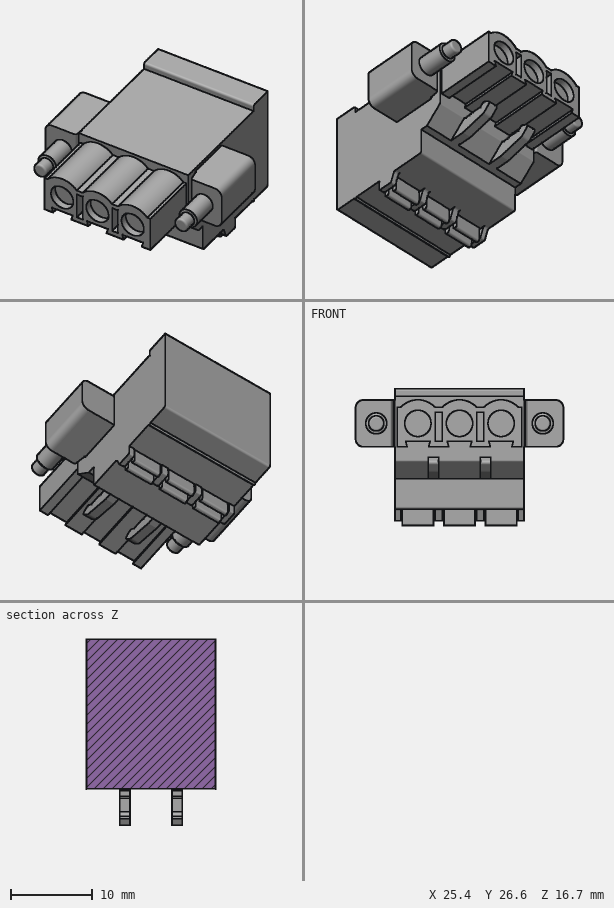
import cadquery as cq
import math


POLE_PITCH = 5.08
POLE_COUNT = 3

BODY_WIDTH = 15.8
BODY_DEPTH = 18.3
BODY_TOP = 3.33
BODY_BOTTOM = -10.45
RIDGE_TOP = 4.24
RIDGE_DEPTH = 3.28
RIDGE_RADIUS = 0.3
STEP_Y = 3.33
STEP_Z = -6.76
UNDERCUT_Y = 2.34
UNDERCUT_Z = -4.6
UNDERCUT_EDGE_RADIUS = 0.25
BOTTOM_EDGE_RADIUS = 0.28
BEAD_RADIUS = 0.2

NOSE_LENGTH = 8.3
NOSE_WIDTH = POLE_COUNT * POLE_PITCH
NOSE_RADIUS = 2.88
NOSE_SHOULDER_Z = 1.96
SOCKET_RADIUS = 1.61
SOCKET_DEPTH = 1.0
SLOT_WIDTH = 0.83
SLOT_TOP = 1.35
SLOT_BOTTOM = -2.18
DOVETAIL_ROOT_WIDTH = 3.0
DOVETAIL_MOUTH_WIDTH = 2.6

OVERALL_WIDTH = 25.4
FLANGE_HEIGHT = 2 * NOSE_RADIUS
FLANGE_DEPTH = 7.68
FLANGE_RADIUS = 1.0
RELIEF_DEPTH = 1.58
RELIEF_BACK_GAP = 0.12
RELIEF_FRONT_GAP = 0.4
RELIEF_EDGE_RADIUS = 0.25
SCREW_X = 2 * POLE_PITCH
SCREW_RADIUS = 1.28
SCREW_SHANK_LENGTH = 3.62
SCREW_LENGTH = 5.32
SCREW_TIP_RADIUS = 0.93
SCREW_SHOULDER_DROP = 0.1
SCREW_END_ROUNDING = 0.25

LATCH_X = 3.2
LATCH_WIDTH = 1.28
LATCH_TOP_Z = -4.59
LATCH_START_Z = -4.5
LATCH_ROOT_Z = -4.68
LATCH_ROOT_START_Y = -0.2
LATCH_ROOT_END_Y = -0.85
LATCH_ARM_START_Y = -1.1
LATCH_UNDERSIDE_Y = 0.23
HOOK_RAMP_Y = -2.79
HOOK_TOP_START_Y = -3.33
HOOK_TOP_END_Y = -3.6
HOOK_TOP_Z = -4.14
LATCH_NOSE = (-4.62, -4.72)
LATCH_NOSE_RADIUS = 0.32
LATCH_KNEE = (-3.46, -5.9)
LATCH_KNEE_RADIUS = 0.6

FOOT_BACK_Y = 10.8
FOOT_FRONT_Y = 8.16
FOOT_TOE_Y = 8.7
FOOT_BOTTOM = -11.9
FOOT_WIDTH = 0.93
END_FOOT_WIDTH = 0.75
FOOT_ROOT_RADIUS = 0.35
FOOT_EDGE_RADIUS = 0.2
PRONG_BOTTOM = -12.47
PRONG_WIDTH = 3.82
PRONG_THICKNESS = 0.64
PRONG_CENTRES_Y = (10.4, 9.03)
PRONG_RADIUS = 0.25

OVERLAP = 0.5

POLE_POSITIONS = [(i - (POLE_COUNT - 1) / 2) * POLE_PITCH for i in range(POLE_COUNT)]
DIVIDER_POSITIONS = [x + POLE_PITCH / 2 for x in POLE_POSITIONS[:-1]]


def side_prism(points, width, x_centre):
    """Extrude a closed (Y, Z) outline symmetrically about X = x_centre."""
    return (
        cq.Workplane("YZ", origin=(x_centre, 0, 0))
        .polyline(points)
        .close()
        .extrude(width / 2, both=True)
    )


def block(x_range, y_range, z_range):
    """Axis-aligned box given by its limits."""
    size = [high - low for low, high in (x_range, y_range, z_range)]
    corner = (x_range[0], y_range[0], z_range[0])
    return cq.Workplane("XY").box(*size, centered=False).translate(corner)


def y_cylinder(x, radius, y_start, y_end):
    """Cylinder along Y, centred on the pole axis height."""
    return cq.Workplane("XZ", origin=(x, y_end, 0)).circle(radius).extrude(y_end - y_start)


def fillet_edge_near(solid, point, radius):
    """Round the single edge whose centre lies nearest to a point."""
    return solid.edges(cq.selectors.NearestToPointSelector(point)).fillet(radius)


def make_body():
    """Housing with its top ridge, bottom bead, front step and foot rail split into feet."""
    ridge_y = BODY_DEPTH - RIDGE_DEPTH
    upper_outline = [
        (0, BODY_TOP),
        (ridge_y, BODY_TOP),
        (ridge_y, RIDGE_TOP),
        (BODY_DEPTH, RIDGE_TOP),
        (BODY_DEPTH, BODY_BOTTOM),
        (ridge_y + BEAD_RADIUS, BODY_BOTTOM),
    ]
    bead_crest = (ridge_y, BODY_BOTTOM - BEAD_RADIUS)
    bead_end = (ridge_y - BEAD_RADIUS, BODY_BOTTOM)
    lower_outline = [
        bead_end,
        (FOOT_BACK_Y, BODY_BOTTOM),
        (FOOT_BACK_Y, FOOT_BOTTOM),
        (FOOT_TOE_Y, FOOT_BOTTOM),
        (FOOT_FRONT_Y, BODY_BOTTOM),
        (STEP_Y, BODY_BOTTOM),
        (STEP_Y, STEP_Z),
        (UNDERCUT_Y, STEP_Z),
        (0, UNDERCUT_Z),
    ]
    body = (
        cq.Workplane("YZ")
        .polyline(upper_outline)
        .threePointArc(bead_crest, bead_end)
        .polyline(lower_outline, includeCurrent=False)
        .close()
        .extrude(BODY_WIDTH / 2, both=True)
    )
    body = fillet_edge_near(body, (0, ridge_y, RIDGE_TOP), RIDGE_RADIUS)
    body = fillet_edge_near(body, (0, 0, UNDERCUT_Z), UNDERCUT_EDGE_RADIUS)
    for y in (STEP_Y, BODY_DEPTH):
        body = fillet_edge_near(body, (0, y, BODY_BOTTOM), BOTTOM_EDGE_RADIUS)
    body = fillet_edge_near(body, (0, FOOT_FRONT_Y, BODY_BOTTOM), FOOT_ROOT_RADIUS)
    for y in (FOOT_TOE_Y, FOOT_BACK_Y):
        body = fillet_edge_near(body, (0, y, FOOT_BOTTOM), FOOT_EDGE_RADIUS)
    for gap in foot_gaps():
        body = body.cut(gap)
    return body


def dovetail_groove(x):
    """Groove along the nose underside, widening inward."""
    root = DOVETAIL_ROOT_WIDTH / 2
    mouth = DOVETAIL_MOUTH_WIDTH / 2
    outline = [
        (-root, SLOT_BOTTOM),
        (root, SLOT_BOTTOM),
        (mouth, -NOSE_RADIUS),
        (-mouth, -NOSE_RADIUS),
    ]
    return cq.Workplane("XZ", origin=(x, 0, 0)).polyline(outline).close().extrude(NOSE_LENGTH)


def make_nose():
    """Plug nose: a scalloped bar with pole sockets, divider slots and dovetail grooves."""
    x_range = (-NOSE_WIDTH / 2, NOSE_WIDTH / 2)
    y_range = (-NOSE_LENGTH, OVERLAP)
    nose = block(x_range, y_range, (-NOSE_RADIUS, NOSE_SHOULDER_Z))
    for x in POLE_POSITIONS:
        nose = nose.union(y_cylinder(x, NOSE_RADIUS, *y_range))
    nose = nose.intersect(block(x_range, y_range, (-NOSE_RADIUS, NOSE_RADIUS)))
    for x in POLE_POSITIONS:
        nose = nose.cut(y_cylinder(x, SOCKET_RADIUS, -NOSE_LENGTH, SOCKET_DEPTH - NOSE_LENGTH))
        nose = nose.cut(dovetail_groove(x))
    for x in DIVIDER_POSITIONS:
        slot_range = (x - SLOT_WIDTH / 2, x + SLOT_WIDTH / 2)
        nose = nose.cut(block(slot_range, (-NOSE_LENGTH, 0), (SLOT_BOTTOM, SLOT_TOP)))
    return nose


def make_flange():
    """Flange on the +X side, with a tapered relief beside the body."""
    inner_x = BODY_WIDTH / 2
    outer_x = OVERALL_WIDTH / 2
    half_height = FLANGE_HEIGHT / 2
    outline = [
        (inner_x - OVERLAP, FLANGE_DEPTH),
        (outer_x, FLANGE_DEPTH),
        (outer_x, 0),
        (inner_x + RELIEF_FRONT_GAP, 0),
        (inner_x + RELIEF_BACK_GAP, RELIEF_DEPTH),
        (inner_x - OVERLAP, RELIEF_DEPTH),
    ]
    flange = (
        cq.Workplane("XY")
        .polyline(outline)
        .close()
        .extrude(half_height, both=True)
    )
    flange = flange.faces(">X").edges("|Y").fillet(FLANGE_RADIUS)
    return fillet_edge_near(flange, (inner_x + RELIEF_FRONT_GAP, 0, 0), RELIEF_EDGE_RADIUS)


def make_screw():
    """Stepped pin on the +X side, turned about its own axis."""
    end_radius = SCREW_TIP_RADIUS - SCREW_END_ROUNDING
    bend = 1 - math.sqrt(0.5)
    end_mid = (
        SCREW_TIP_RADIUS - bend * SCREW_END_ROUNDING,
        -SCREW_LENGTH + bend * SCREW_END_ROUNDING,
    )
    profile = (
        cq.Workplane("ZY")
        .moveTo(0, OVERLAP)
        .lineTo(SCREW_RADIUS, OVERLAP)
        .lineTo(SCREW_RADIUS, -SCREW_SHANK_LENGTH)
        .lineTo(SCREW_TIP_RADIUS, -SCREW_SHANK_LENGTH - SCREW_SHOULDER_DROP)
        .lineTo(SCREW_TIP_RADIUS, -SCREW_LENGTH + SCREW_END_ROUNDING)
        .threePointArc(end_mid, (end_radius, -SCREW_LENGTH))
        .lineTo(0, -SCREW_LENGTH)
        .close()
    )
    return profile.revolve(360, (0, 0, 0), (0, 1, 0)).translate((SCREW_X, 0, 0))


def make_latch(x):
    """Hooked latch arm reaching forward from the undercut below the nose."""
    outline = [
        (UNDERCUT_Y, STEP_Z),
        (UNDERCUT_Y, LATCH_TOP_Z),
        (0, LATCH_START_Z),
        (LATCH_ROOT_START_Y, LATCH_ROOT_Z),
        (LATCH_ROOT_END_Y, LATCH_ROOT_Z),
        (LATCH_ARM_START_Y, LATCH_TOP_Z),
        (HOOK_RAMP_Y, LATCH_TOP_Z),
        (HOOK_TOP_START_Y, HOOK_TOP_Z),
        (HOOK_TOP_END_Y, HOOK_TOP_Z),
        LATCH_NOSE,
        LATCH_KNEE,
        (LATCH_UNDERSIDE_Y, STEP_Z),
    ]
    latch = side_prism(outline, LATCH_WIDTH, x)
    latch = fillet_edge_near(latch, (x, *LATCH_NOSE), LATCH_NOSE_RADIUS)
    return fillet_edge_near(latch, (x, *LATCH_KNEE), LATCH_KNEE_RADIUS)


def foot_gaps():
    """Clearances that split the full-width foot rail into separate feet, with one gap per pole."""
    half_width = BODY_WIDTH / 2
    foot_limits = [-half_width, -half_width + END_FOOT_WIDTH]
    for x in DIVIDER_POSITIONS:
        foot_limits += [x - FOOT_WIDTH / 2, x + FOOT_WIDTH / 2]
    foot_limits += [half_width - END_FOOT_WIDTH, half_width]
    y_range = (FOOT_FRONT_Y - OVERLAP, FOOT_BACK_Y + OVERLAP)
    for gap_start, gap_end in zip(foot_limits[1:-1:2], foot_limits[2:-1:2]):
        yield block((gap_start, gap_end), y_range, (FOOT_BOTTOM, BODY_BOTTOM))


def make_prong(x, y):
    """Round-tipped bar hanging from the body underside."""
    prong = block(
        (x - PRONG_WIDTH / 2, x + PRONG_WIDTH / 2),
        (y - PRONG_THICKNESS / 2, y + PRONG_THICKNESS / 2),
        (PRONG_BOTTOM, BODY_BOTTOM + OVERLAP),
    )
    return prong.faces("<Z").edges("|X").fillet(PRONG_RADIUS)


result = make_body().union(make_nose())

for side_feature in (make_flange(), make_screw()):
    result = result.union(side_feature).union(side_feature.mirror("YZ"))

for latch_x in (-LATCH_X, LATCH_X):
    result = result.union(make_latch(latch_x))

for prong_x in POLE_POSITIONS:
    for prong_y in PRONG_CENTRES_Y:
        result = result.union(make_prong(prong_x, prong_y))

result = result.clean()